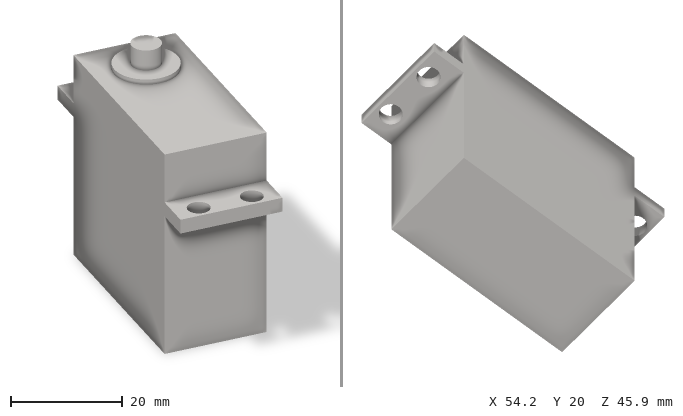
import cadquery as cq

flange_length = 54.2
case_length = 40.2
width = 20.0
case_height = 40.8

flange_bottom = 28.2
flange_thickness = 2.8
hole_diameter = 4.3
hole_edge_distance = 2.75
hole_spacing_x = flange_length - 2 * hole_edge_distance
hole_spacing_y = 10.4

shaft_x = -10.5
collar_diameter = 12.4
collar_height = 1.05
shaft_diameter = 5.7
overall_height = 45.9
shaft_height = overall_height - case_height - collar_height


def block(length, height, bottom):
    """Full-width block centred on X and Y."""
    return (
        cq.Workplane("XY", origin=(0, 0, bottom))
        .box(length, width, height, centered=(True, True, False))
    )


def output_cylinder(diameter, height, bottom):
    """Upright cylinder on the output axis."""
    return (
        cq.Workplane("XY", origin=(shaft_x, 0, bottom))
        .circle(diameter / 2)
        .extrude(height)
    )


case = block(case_length, case_height, 0)
flange = block(flange_length, flange_thickness, flange_bottom)

mounting_holes = (
    cq.Workplane("XY", origin=(0, 0, flange_bottom))
    .rect(hole_spacing_x, hole_spacing_y, forConstruction=True)
    .vertices()
    .circle(hole_diameter / 2)
    .extrude(flange_thickness)
)

collar = output_cylinder(collar_diameter, collar_height, case_height)
shaft = output_cylinder(shaft_diameter, shaft_height, case_height + collar_height)

result = case.union(flange).cut(mounting_holes).union(collar).union(shaft)